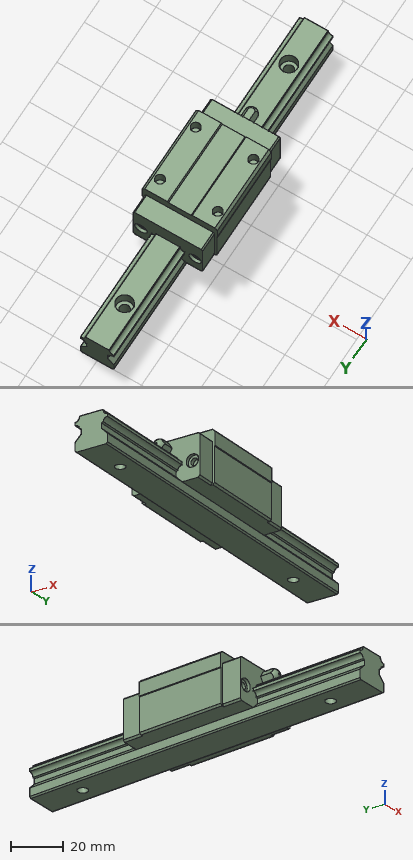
import cadquery as cq
import math


rail_length = 160.0
rail_width = 15.0
rail_height = 15.0
rail_foot_chamfer = 0.6
rail_top_width = 10.5
flange_bottom = 4.3
waist_width = 9.5
waist_top = 9.5
groove_inner_width = 11.0
upper_groove_top = 14.5
lower_groove_bottom = 9.8
ridge_top = 12.8
ridge_bottom = 11.5
groove_radius = 2.0

rail_hole_spacing = 120.0
rail_hole_diameter = 4.5
rail_counterbore_diameter = 7.5
rail_counterbore_depth = 5.3

carriage_top = 28.0
carriage_bottom = flange_bottom
block_length = 39.4
block_width = 34.0
block_lower_width = 33.5
shoulder_bottom = 20.8
block_top_chamfer = 1.1
bottom_chamfer = 0.8

relief_width = 10.2
relief_top_width = 11.2
relief_depth = 0.5

mount_hole_spacing = 26.0
mount_hole_diameter = 4.2
mount_hole_depth = 5.0

cap_length = 8.6
cap_width = 31.4
cap_top = 23.4
cap_top_chamfer = 0.6

cap_hole_spacing = 24.5
cap_hole_height = 12.2
cap_recess_diameter = 5.6
cap_recess_depth = 1.5
cap_hole_diameter = 3.2
cap_hole_depth = 3.2

nipple_across_flats = 5.0
nipple_length = 6.9
nipple_height = 19.8
nipple_dome_radius = 2.9
nipple_hole_diameter = 0.8
nipple_hole_depth = 1.6

carriage_end = block_length / 2 + cap_length


def arc_middle(start, end, radius):
    """Middle of the short arc from start to end that bulges to the left of that direction."""
    chord_x = end[0] - start[0]
    chord_z = end[1] - start[1]
    chord = math.hypot(chord_x, chord_z)
    bulge = radius - math.sqrt(radius**2 - (chord / 2) ** 2)
    middle_x = (start[0] + end[0]) / 2 - bulge * chord_z / chord
    middle_z = (start[1] + end[1]) / 2 + bulge * chord_x / chord
    return (middle_x, middle_z)


def extrude_along_y(outline, length):
    """Extrude an XZ outline by the given length, centred on Y = 0."""
    return outline.extrude(length / 2, both=True)


def mirrored_prism(right_points, length):
    """Prism along Y whose XZ outline is the given right half and its mirror image."""
    left_points = [(-x, z) for x, z in reversed(right_points)]
    outline = cq.Workplane("XZ").polyline(right_points + left_points).close()
    return extrude_along_y(outline, length)


def rail_prism():
    """Rail without its screw holes, made from a half section and its mirror image."""
    half_width = rail_width / 2
    half_waist = waist_width / 2
    groove_inner = groove_inner_width / 2
    lower_start = (groove_inner, lower_groove_bottom)
    lower_end = (half_width, ridge_bottom)
    upper_start = (half_width, ridge_top)
    upper_end = (groove_inner, upper_groove_top)

    half_section = (
        cq.Workplane("XZ")
        .moveTo(0, 0)
        .lineTo(half_width - rail_foot_chamfer, 0)
        .lineTo(half_width, rail_foot_chamfer)
        .lineTo(half_width, flange_bottom)
        .lineTo(half_waist, flange_bottom + half_width - half_waist)
        .lineTo(half_waist, waist_top)
        .lineTo(*lower_start)
        .threePointArc(arc_middle(lower_start, lower_end, groove_radius), lower_end)
        .lineTo(*upper_start)
        .threePointArc(arc_middle(upper_start, upper_end, groove_radius), upper_end)
        .lineTo(rail_top_width / 2, rail_height)
        .lineTo(0, rail_height)
        .close()
    )
    half_rail = extrude_along_y(half_section, rail_length)
    return half_rail.union(half_rail.mirror("YZ")).clean()


def make_rail():
    """Rail with a counterbored screw hole near each end."""
    hole_places = [(0, -rail_hole_spacing / 2), (0, rail_hole_spacing / 2)]
    return (
        rail_prism()
        .faces(">Z")
        .workplane(origin=(0, 0, rail_height))
        .pushPoints(hole_places)
        .cboreHole(rail_hole_diameter, rail_counterbore_diameter, rail_counterbore_depth)
    )


def block_prism():
    """Middle block, with wider upper shoulders and a shallow channel along the top."""
    half_width = block_width / 2
    half_lower = block_lower_width / 2
    shoulder_step = half_width - half_lower
    right_points = [
        (half_lower - bottom_chamfer, carriage_bottom),
        (half_lower, carriage_bottom + bottom_chamfer),
        (half_lower, shoulder_bottom - shoulder_step),
        (half_width, shoulder_bottom),
        (half_width, carriage_top - block_top_chamfer),
        (half_width - block_top_chamfer, carriage_top),
        (relief_top_width / 2, carriage_top),
        (relief_width / 2, carriage_top - relief_depth),
    ]
    return mirrored_prism(right_points, block_length)


def cap_prism():
    """Both end caps as one prism that passes through the block."""
    half_width = cap_width / 2
    right_points = [
        (half_width - bottom_chamfer, carriage_bottom),
        (half_width, carriage_bottom + bottom_chamfer),
        (half_width, cap_top - cap_top_chamfer),
        (half_width - cap_top_chamfer, cap_top),
    ]
    return mirrored_prism(right_points, 2 * carriage_end)


def mount_holes():
    """Four blind mounting holes in the block top."""
    return (
        cq.Workplane("XY", origin=(0, 0, carriage_top))
        .rarray(mount_hole_spacing, mount_hole_spacing, 2, 2)
        .circle(mount_hole_diameter / 2)
        .extrude(-mount_hole_depth)
    )


def cap_holes():
    """Two recessed screw holes in the outer face of each end cap."""
    places = [(-cap_hole_spacing / 2, cap_hole_height), (cap_hole_spacing / 2, cap_hole_height)]
    front_face = cq.Workplane("XZ", origin=(0, -carriage_end, 0)).pushPoints(places)
    recesses = front_face.circle(cap_recess_diameter / 2).extrude(-cap_recess_depth)
    holes = front_face.circle(cap_hole_diameter / 2).extrude(-cap_hole_depth)
    front_holes = recesses.union(holes)
    return front_holes.union(front_holes.mirror("XZ"))


def make_carriage():
    """Block and end caps, cut to fit closely over the rail."""
    body = block_prism().union(cap_prism())
    return body.cut(rail_prism()).cut(mount_holes()).cut(cap_holes())


def make_nipple():
    """Hexagonal nipple on the -Y cap face, with a domed end and a small grease hole."""
    cap_face = cq.Workplane("XZ", origin=(0, -carriage_end, nipple_height))
    tip_face = cq.Workplane("XZ", origin=(0, -carriage_end - nipple_length, nipple_height))
    straight_length = nipple_length - nipple_dome_radius

    across_corners = nipple_across_flats / math.cos(math.pi / 6)
    hexagon = cap_face.polygon(6, across_corners).extrude(nipple_length)
    dome_centre = (0, -carriage_end - straight_length, nipple_height)
    dome = cq.Workplane("XY").sphere(nipple_dome_radius).translate(dome_centre)
    domed_rod = cap_face.circle(nipple_dome_radius).extrude(straight_length).union(dome)
    grease_hole = tip_face.circle(nipple_hole_diameter / 2).extrude(-nipple_hole_depth)
    return hexagon.intersect(domed_rod).cut(grease_hole)


rail = make_rail()
carriage = make_carriage()
nipple = make_nipple()

result = cq.Compound.makeCompound([rail.val(), carriage.val(), nipple.val()])